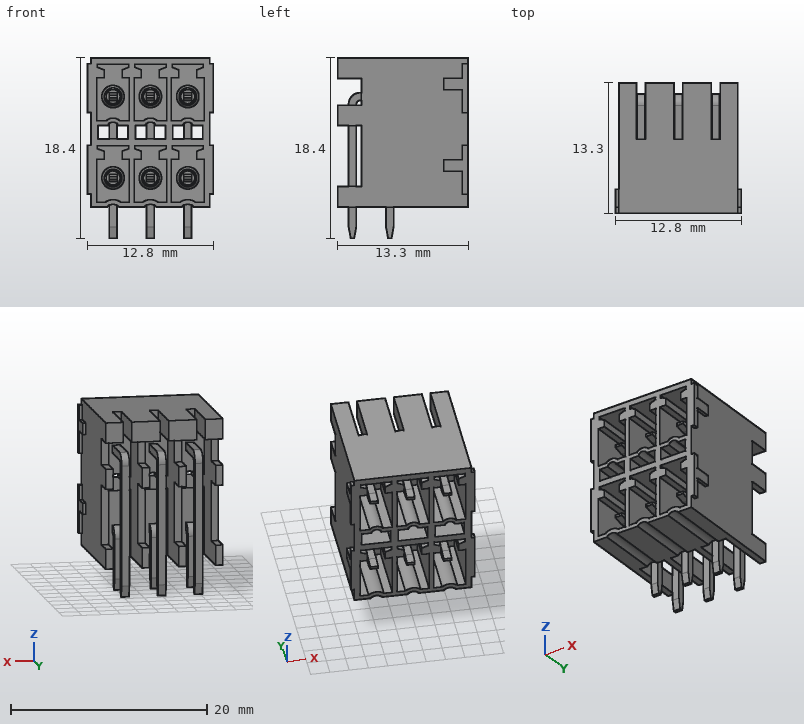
import cadquery as cq
import math


COLUMNS = 3
PITCH = 3.8
ROW_PITCH = 8.3
ROW_BASES = [0.0, ROW_PITCH]
COLUMN_X = [(i - (COLUMNS - 1) / 2) * PITCH for i in range(COLUMNS)]

WIDTH = 12.15
DEPTH = 13.3
HEIGHT = 15.2
OVERALL_HEIGHT = 18.4

FINGER_HEIGHT = 2.1
FINGER_LENGTH = 2.43

OVERALL_WIDTH = 12.82
RAIL_FLANGE_DEPTH = 0.63
RAIL_FLANGE_BOTTOM = 1.32
RAIL_FLANGE_TOP = 6.31
RAIL_STEM_LENGTH = 2.48
RAIL_STEM_BOTTOM = 3.65
RAIL_STEM_TOP = 4.82

POCKET_DEPTH = 6.62
POCKET_WIDTH = 3.33
POCKET_FLOOR = 0.48
POCKET_SHOULDER = 4.88
KEY_SLOPE_BOTTOM = 5.69
KEY_SLOPE_TOP = 5.95
POCKET_TOP = 6.24
NECK_WIDTH = 1.84
POCKET_TOP_WIDTH = 3.18

ARCHES = [(-0.53, 0.81, 1.29), (-0.18, 0.55, 0.95)]

WINDOW_WIDTH = 3.04
WINDOW_BOTTOM = 6.94
WINDOW_TOP = ROW_PITCH

PIN_SIZE = 0.81
PIN_HEIGHT = 2.96
PIN_TIP_Y = 1.2
PIN_TAIL_Z = HEIGHT - OVERALL_HEIGHT
TAIL_TAPER_LENGTH = 1.2
TAIL_END = 0.37
TIP_TAPER_LENGTH = 1.07
TIP_END = 0.28
BEND_OUTER_RADIUS = 1.2
BEND_INNER_RADIUS = BEND_OUTER_RADIUS - PIN_SIZE
UPPER_LEG_Y = 11.8
LEG_Y = [UPPER_LEG_Y - PITCH, UPPER_LEG_Y]

SLOT_WIDTH = 0.88
SLOT_FRONT = LEG_Y[0] - PIN_SIZE / 2
BAY_FRONT = SLOT_FRONT - BEND_INNER_RADIUS

BOSS_BASE_RADIUS = 1.15
BOSS_SHOULDER_RADIUS = 0.88
BOSS_TIP_RADIUS = 0.72
BOSS_SHOULDER_HEIGHT = 0.74
BOSS_HEIGHT = 0.8


def box(x_range, y_range, z_range):
    """Box spanning the given (low, high) ranges."""
    sizes = [high - low for low, high in (x_range, y_range, z_range)]
    corner = (x_range[0], y_range[0], z_range[0])
    return cq.Workplane("XY").box(*sizes, centered=False).translate(corner)


def centred_box(x, width, y_range, z_range):
    """Box of the given width centred on x."""
    return box((x - width / 2, x + width / 2), y_range, z_range)


def rod(x, z, radius, y_end):
    """Cylinder along +Y from the front face to y_end."""
    return cq.Workplane("XZ", origin=(x, 0, z)).circle(radius).extrude(-y_end)


def side_rails(base):
    """T-shaped slab across the full width, whose ends form the two side rails."""
    flange_z = (base + RAIL_FLANGE_BOTTOM, base + RAIL_FLANGE_TOP)
    stem_z = (base + RAIL_STEM_BOTTOM, base + RAIL_STEM_TOP)
    flange = centred_box(0, OVERALL_WIDTH, (0, RAIL_FLANGE_DEPTH), flange_z)
    stem = centred_box(0, OVERALL_WIDTH, (0, RAIL_STEM_LENGTH), stem_z)
    return flange.union(stem)


def pocket(x, base, arch):
    """Keyed plug pocket whose floor carries an arched ridge."""
    axis_height, _, ridge_radius = arch
    right_side = [
        (POCKET_WIDTH / 2, POCKET_FLOOR),
        (POCKET_WIDTH / 2, POCKET_SHOULDER),
        (NECK_WIDTH / 2, POCKET_SHOULDER),
        (NECK_WIDTH / 2, KEY_SLOPE_BOTTOM),
        (POCKET_TOP_WIDTH / 2, KEY_SLOPE_TOP),
        (POCKET_TOP_WIDTH / 2, POCKET_TOP),
    ]
    left_side = [(-across, up) for across, up in reversed(right_side)]
    outline = cq.Workplane("XZ", origin=(x, 0, base)).polyline(right_side + left_side).close()
    return outline.extrude(-POCKET_DEPTH).cut(rod(x, base + axis_height, ridge_radius, POCKET_DEPTH))


def boss(x, base):
    """Tapered collar with a bevelled rim, pointing forward from the pocket end wall."""
    profile = [
        (0, 0),
        (BOSS_BASE_RADIUS, 0),
        (BOSS_SHOULDER_RADIUS, -BOSS_SHOULDER_HEIGHT),
        (BOSS_TIP_RADIUS, -BOSS_HEIGHT),
        (0, -BOSS_HEIGHT),
    ]
    collar = cq.Workplane("XY").polyline(profile).close().revolve(360, (0, 0, 0), (0, 1, 0))
    return collar.translate((x, POCKET_DEPTH, base + PIN_HEIGHT))


def pin_hole(x, base):
    """Square hole through the boss and the wall behind it, fitting the pin."""
    axis = base + PIN_HEIGHT
    return centred_box(x, PIN_SIZE, (0, BAY_FRONT), (axis - PIN_SIZE / 2, axis + PIN_SIZE / 2))


def leg_bay(x):
    """Bay below the top plate together with the slot through the plate."""
    bay = centred_box(x, WINDOW_WIDTH, (BAY_FRONT, DEPTH), (0, HEIGHT - FINGER_HEIGHT))
    slot = centred_box(x, SLOT_WIDTH, (SLOT_FRONT, DEPTH), (0, HEIGHT))
    return bay.union(slot)


def make_housing():
    """Whole plug housing as one body."""
    body = centred_box(0, WIDTH, (0, DEPTH), (0, HEIGHT))

    finger_bottoms = ROW_BASES + [HEIGHT - FINGER_HEIGHT]
    for lower, upper in zip(finger_bottoms, finger_bottoms[1:]):
        notch_z = (lower + FINGER_HEIGHT, upper)
        body = body.cut(centred_box(0, WIDTH, (DEPTH - FINGER_LENGTH, DEPTH), notch_z))

    for base in ROW_BASES:
        body = body.union(side_rails(base))

    for x in COLUMN_X:
        body = body.cut(leg_bay(x))
        body = body.cut(centred_box(x, WINDOW_WIDTH, (0, DEPTH), (WINDOW_BOTTOM, WINDOW_TOP)))
        for base, arch in zip(ROW_BASES, ARCHES):
            axis_height, groove_radius, _ = arch
            body = body.cut(rod(x, base + axis_height, groove_radius, DEPTH))
            body = body.cut(pocket(x, base, arch))
            body = body.union(boss(x, base))
            body = body.cut(pin_hole(x, base))
    return body


def make_pin(x, base, leg_y):
    """Square pin running back from its tip, then bent down into a leg; both ends taper."""
    half = PIN_SIZE / 2
    half_tail = TAIL_END / 2
    half_tip = TIP_END / 2
    axis = base + PIN_HEIGHT
    front, rear = leg_y - half, leg_y + half
    bottom, top = axis - half, axis + half
    bend_y = rear - BEND_OUTER_RADIUS
    bend_z = top - BEND_OUTER_RADIUS
    tip_taper_y = PIN_TIP_Y + TIP_TAPER_LENGTH
    tail_taper_z = PIN_TAIL_Z + TAIL_TAPER_LENGTH
    diagonal = math.sqrt(0.5)
    outer_mid = BEND_OUTER_RADIUS * diagonal
    inner_mid = BEND_INNER_RADIUS * diagonal
    outline = (
        cq.Workplane("YZ", origin=(x, 0, 0))
        .moveTo(PIN_TIP_Y, axis + half_tip)
        .lineTo(tip_taper_y, top)
        .lineTo(bend_y, top)
        .threePointArc((bend_y + outer_mid, bend_z + outer_mid), (rear, bend_z))
        .lineTo(rear, tail_taper_z)
        .lineTo(leg_y + half_tail, PIN_TAIL_Z)
        .lineTo(leg_y - half_tail, PIN_TAIL_Z)
        .lineTo(front, tail_taper_z)
        .lineTo(front, bend_z)
        .threePointArc((bend_y + inner_mid, bend_z + inner_mid), (bend_y, bottom))
        .lineTo(tip_taper_y, bottom)
        .lineTo(PIN_TIP_Y, axis - half_tip)
        .close()
    )
    return outline.extrude(half, both=True)


housing = make_housing()
pins = [
    make_pin(x, base, leg_y)
    for base, leg_y in zip(ROW_BASES, LEG_Y)
    for x in COLUMN_X
]

result = cq.Compound.makeCompound([housing.val(), *[pin.val() for pin in pins]])